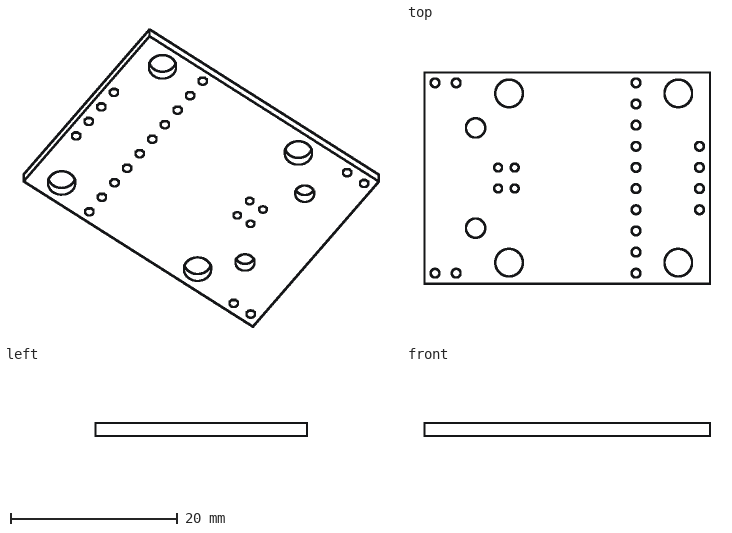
import cadquery as cq

length = 34.3
pitches_long = 13.5
pitches_wide = 10
pitch = length / pitches_long
width = pitches_wide * pitch
thickness = 1.6

pin_hole_diameter = 1.03
mounting_hole_diameter = 3.3
connector_pin_diameter = 0.93
connector_peg_diameter = 2.3

peg_from_left = 6.15
peg_spacing = 12.05
peg_to_first_pins = 2.7
connector_row_spacing = 2.0
connector_pin_spacing = 2.5


def grid_point(column, row):
    """Position counted in pitches from the left and front edges."""
    return (column * pitch - length / 2, row * pitch - width / 2)


def drill(board, points, diameter):
    """Drill through holes at the given points."""
    return board.faces(">Z").workplane(origin=(0, 0, 0)).pushPoints(points).hole(diameter)


board = cq.Workplane("XY").box(length, width, thickness)

edge_row = 0.5
long_header = [grid_point(10, edge_row + i) for i in range(10)]
short_header = [grid_point(13, 3.5 + i) for i in range(4)]
corner_pairs = [
    grid_point(column, row)
    for column in (0.5, 1.5)
    for row in (edge_row, pitches_wide - edge_row)
]
board = drill(board, long_header + short_header + corner_pairs, pin_hole_diameter)

mounting_points = [
    grid_point(column, row)
    for column in (4, 12)
    for row in (1, pitches_wide - 1)
]
board = drill(board, mounting_points, mounting_hole_diameter)

peg_x = peg_from_left - length / 2
peg_points = [(peg_x, side * peg_spacing / 2) for side in (-1, 1)]
board = drill(board, peg_points, connector_peg_diameter)

first_pins_x = peg_x + peg_to_first_pins
connector_pins = [
    (x, side * connector_pin_spacing / 2)
    for x in (first_pins_x, first_pins_x + connector_row_spacing)
    for side in (-1, 1)
]
board = drill(board, connector_pins, connector_pin_diameter)

result = board